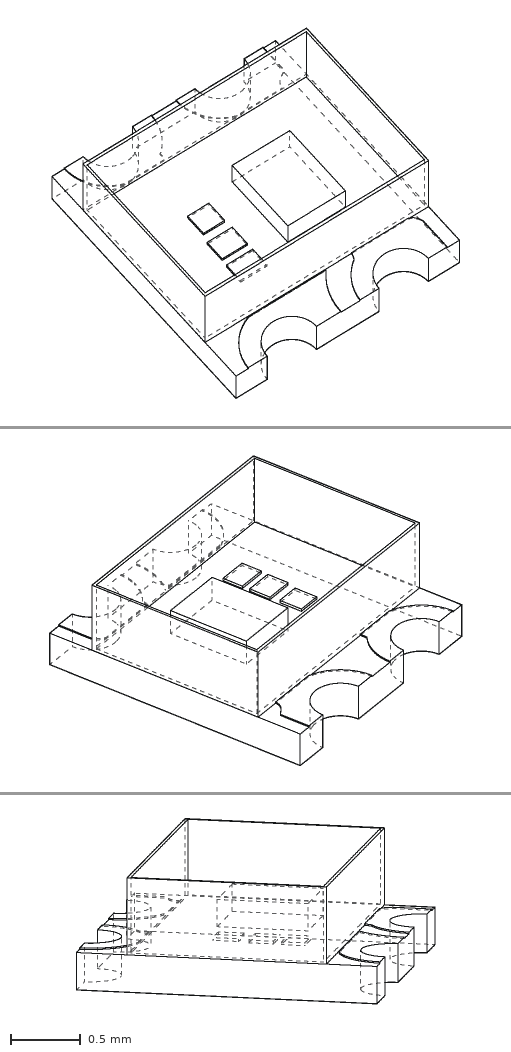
import cadquery as cq
import math

board_x = 2.2
board_y = 2.0
board_z = 0.275
edge_x = board_x / 2

notch_radius = 0.22
notch_y = 0.5

land_z = 0.01
land_radius = 0.39
land_end_y = 0.89

total_z = 0.84
housing_x = 1.46
housing_z = total_z - board_z
wall_side = 0.025
wall_end = 0.02
floor_z = land_z
wall_x = housing_x / 2

small_chip_z = 0.02
chips = [
    (0.050, 0.258, 0.665, 0.515, 0.20),
    (-0.125, -0.350, 0.190, 0.190, small_chip_z),
    (0.140, -0.360, 0.180, 0.225, small_chip_z),
    (0.377, -0.364, 0.170, 0.235, small_chip_z),
]


def rim_offset(x):
    """Y distance from a notch centre to the land rim at a given x."""
    return math.sqrt(land_radius**2 - (edge_x - abs(x)) ** 2)


def land_sketch():
    """Workplane on the top face of the board."""
    return cq.Workplane("XY").workplane(offset=board_z)


def rear_left_land():
    shoulder = (-0.848, land_end_y)
    bend = (-0.81, 0.828)
    fillet_middle = (-0.775, 0.797)
    fillet_end = (-wall_x, 0.783)
    rim_mid_x = -0.835
    return (
        land_sketch()
        .moveTo(-edge_x, land_end_y)
        .lineTo(*shoulder)
        .lineTo(*bend)
        .threePointArc(fillet_middle, fillet_end)
        .lineTo(-wall_x, notch_y - rim_offset(wall_x))
        .threePointArc((rim_mid_x, notch_y - rim_offset(rim_mid_x)), (-edge_x, notch_y - land_radius))
        .close()
        .extrude(land_z)
    )


def front_left_land():
    corner_x = -0.79
    rear_mid_x = -0.93
    front_mid_x = -0.835
    corner_y = -notch_y + rim_offset(corner_x)
    return (
        land_sketch()
        .moveTo(-edge_x, -notch_y + land_radius)
        .threePointArc((rear_mid_x, -notch_y + rim_offset(rear_mid_x)), (corner_x, corner_y))
        .lineTo(-wall_x, corner_y)
        .lineTo(-wall_x, -notch_y - rim_offset(wall_x))
        .threePointArc((front_mid_x, -notch_y - rim_offset(front_mid_x)), (-edge_x, -notch_y - land_radius))
        .close()
        .extrude(land_z)
    )


def rear_right_land():
    fillet_start = (0.817, land_end_y)
    fillet_middle = (0.765, 0.866)
    fillet_end = (wall_x, 0.818)
    wall_corner = (wall_x, 0.312)
    rim_corner = (0.785, 0.293)
    rim_middle = (0.907, 0.175)
    return (
        land_sketch()
        .moveTo(edge_x, land_end_y)
        .lineTo(*fillet_start)
        .threePointArc(fillet_middle, fillet_end)
        .lineTo(*wall_corner)
        .lineTo(*rim_corner)
        .threePointArc(rim_middle, (edge_x, notch_y - land_radius))
        .close()
        .extrude(land_z)
    )


def front_right_land():
    wall_gap = 0.01
    inner_x = wall_x + wall_gap
    rear_edge = (edge_x, -0.06)
    rear_middle = (0.905, -0.025)
    rear_corner = (inner_x, 0.075)
    front_corner = (inner_x, -0.617)
    front_middle = (0.9, -0.825)
    return (
        land_sketch()
        .moveTo(*rear_edge)
        .threePointArc(rear_middle, rear_corner)
        .lineTo(*front_corner)
        .threePointArc(front_middle, (edge_x, -notch_y - land_radius))
        .close()
        .extrude(land_z)
    )


def make_board():
    board = cq.Workplane("XY").box(board_x, board_y, board_z, centered=(True, True, False))
    for land in (rear_left_land(), front_left_land(), rear_right_land(), front_right_land()):
        board = board.union(land)
    notch_centres = [(x, y) for x in (-edge_x, edge_x) for y in (-notch_y, notch_y)]
    notches = cq.Workplane("XY").pushPoints(notch_centres).circle(notch_radius).extrude(total_z)
    return board.cut(notches)


def make_housing():
    housing = (
        cq.Workplane("XY")
        .workplane(offset=board_z)
        .box(housing_x, board_y, housing_z, centered=(True, True, False))
    )
    cavity = (
        cq.Workplane("XY")
        .workplane(offset=board_z + floor_z)
        .box(housing_x - 2 * wall_side, board_y - 2 * wall_end, housing_z, centered=(True, True, False))
    )
    housing = housing.cut(cavity)
    for x, y, size_x, size_y, height in chips:
        chip = (
            cq.Workplane("XY")
            .workplane(offset=board_z)
            .center(x, y)
            .rect(size_x, size_y)
            .extrude(floor_z + height)
        )
        housing = housing.union(chip)
    return housing


board = make_board()
housing = make_housing()

result = cq.Compound.makeCompound([board.val(), housing.val()])